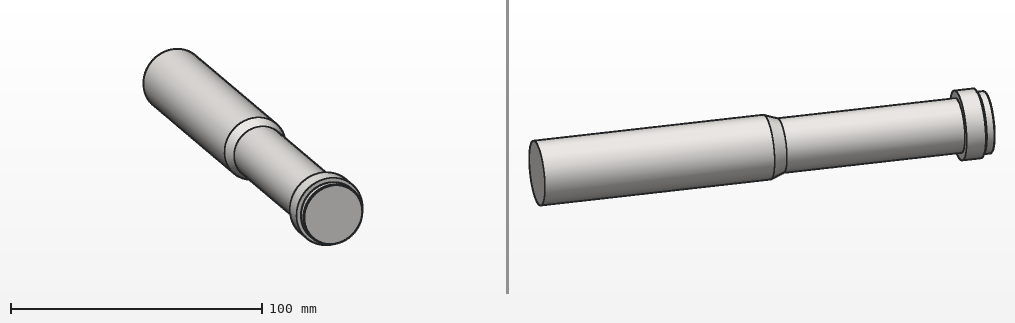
import cadquery as cq

body_diameter = 26.0
shank_diameter = 22.0
collar_diameter = 28.0
groove_diameter = 24.0
cap_diameter = 25.1

length = 184.7
body_end = 94.2
shank_start = 99.7
collar_start = 172.7
collar_end = 180.5
cap_start = 181.4
cap_chamfer = 0.4

body_radius = body_diameter / 2
shank_radius = shank_diameter / 2
collar_radius = collar_diameter / 2
groove_radius = groove_diameter / 2
cap_radius = cap_diameter / 2

profile = (
    cq.Workplane("XZ")
    .lineTo(0, body_radius)
    .lineTo(body_end, body_radius)
    .lineTo(shank_start, shank_radius)
    .lineTo(collar_start, shank_radius)
    .lineTo(collar_start, collar_radius)
    .lineTo(collar_end, collar_radius)
    .lineTo(collar_end, groove_radius)
    .lineTo(cap_start, groove_radius)
    .lineTo(cap_start, cap_radius)
    .lineTo(length - cap_chamfer, cap_radius)
    .lineTo(length, cap_radius - cap_chamfer)
    .lineTo(length, 0)
    .close()
)

result = profile.revolve(360, (0, 0, 0), (1, 0, 0)).translate((-length / 2, 0, 0))